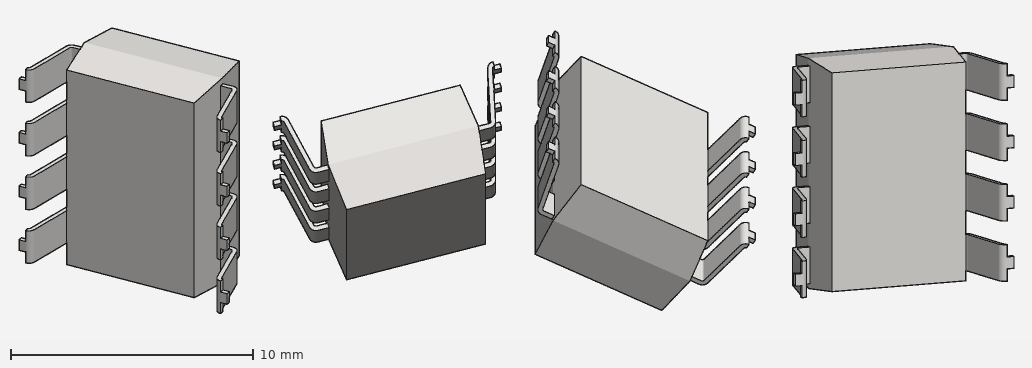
import cadquery as cq
import math


body_length = 9.7
body_width = 6.42
half_depth = 2.0
draft_angle = 6.8

leads_per_side = 4
lead_pitch = 2.54
lead_row_offset = -0.04
lead_width = 1.54
lead_thickness = 0.2
lead_span = 9.7
foot_bottom_y = -2.65
shoulder_end_x = 3.69
bend_inner_radius = 0.1
bend_angle = 78.0
embed_depth = 0.29

tip_width = 0.5

bend_outer_radius = bend_inner_radius + lead_thickness
bend_radius_sum = bend_inner_radius + bend_outer_radius
bend_sine = math.sin(math.radians(bend_angle))
bend_cosine = math.cos(math.radians(bend_angle))
shoulder_top_y = lead_thickness / 2
shoulder_bottom_y = -lead_thickness / 2
foot_top_y = foot_bottom_y + lead_thickness
drop = shoulder_top_y - foot_top_y
leg_length = (drop - bend_radius_sum * (1 - bend_cosine)) / bend_sine
foot_start_x = shoulder_end_x + bend_radius_sum * bend_sine + leg_length * bend_cosine
upper_bend_center = (shoulder_end_x, shoulder_top_y - bend_outer_radius)
lower_bend_center = (foot_start_x, foot_bottom_y + bend_outer_radius)


def make_body():
    """Two tapered halves that meet at their widest, on the parting plane."""
    outline = cq.Workplane("XZ").rect(body_width, body_length)
    front_half = outline.extrude(half_depth, taper=draft_angle)
    return front_half.union(front_half.mirror("XZ"))


def bend_point(center, radius, turned):
    """Point on a bend after turning by `turned` degrees; a negative radius curves the other way."""
    angle = math.radians(turned)
    return (center[0] + radius * math.sin(angle), center[1] + radius * math.cos(angle))


def make_lead():
    """One +X lead centred on Z = 0: shoulder, bend, sloping leg, bend and narrow foot tip."""
    half_turn = bend_angle / 2
    inner_x = body_width / 2 - embed_depth
    bent_strip = (
        cq.Workplane("XY")
        .moveTo(inner_x, shoulder_top_y)
        .lineTo(shoulder_end_x, shoulder_top_y)
        .threePointArc(
            bend_point(upper_bend_center, bend_outer_radius, half_turn),
            bend_point(upper_bend_center, bend_outer_radius, bend_angle),
        )
        .lineTo(*bend_point(lower_bend_center, -bend_inner_radius, bend_angle))
        .threePointArc(
            bend_point(lower_bend_center, -bend_inner_radius, half_turn),
            (foot_start_x, foot_top_y),
        )
        .lineTo(foot_start_x, foot_bottom_y)
        .threePointArc(
            bend_point(lower_bend_center, -bend_outer_radius, half_turn),
            bend_point(lower_bend_center, -bend_outer_radius, bend_angle),
        )
        .lineTo(*bend_point(upper_bend_center, bend_inner_radius, bend_angle))
        .threePointArc(
            bend_point(upper_bend_center, bend_inner_radius, half_turn),
            (shoulder_end_x, shoulder_bottom_y),
        )
        .lineTo(inner_x, shoulder_bottom_y)
        .close()
        .extrude(lead_width / 2, both=True)
    )
    tip_length = lead_span / 2 - foot_start_x
    foot_tip = (
        cq.Workplane("XY")
        .box(tip_length, lead_thickness, tip_width, centered=(False, False, True))
        .translate((foot_start_x, foot_bottom_y, 0))
    )
    return bent_strip.union(foot_tip)


result = make_body()
right_lead = make_lead()
left_lead = right_lead.mirror("YZ")
for index in range(leads_per_side):
    lead_z = lead_row_offset + (index - (leads_per_side - 1) / 2) * lead_pitch
    result = result.union(right_lead.translate((0, 0, lead_z)))
    result = result.union(left_lead.translate((0, 0, lead_z)))